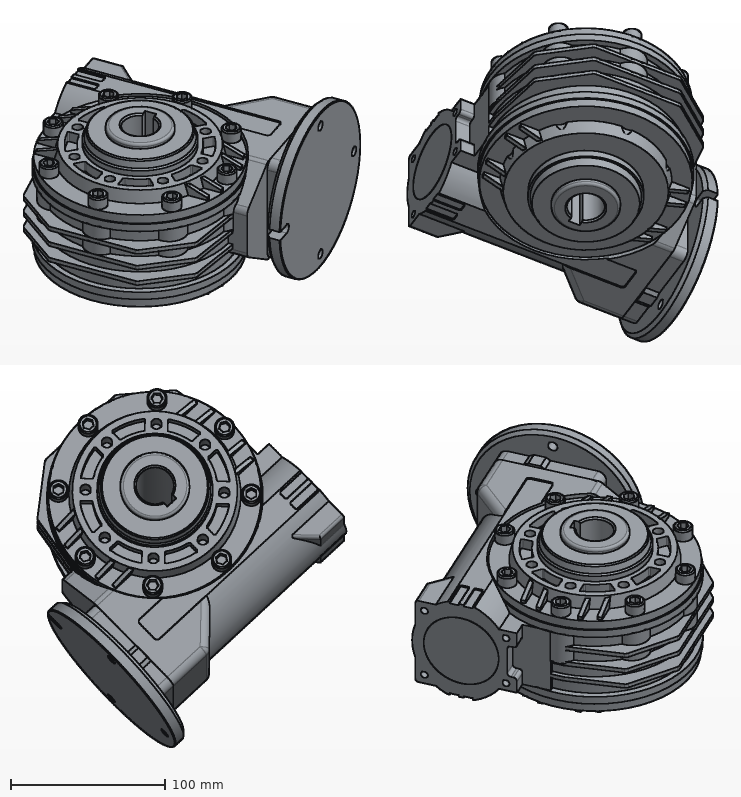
import cadquery as cq
import math


centre_distance = 63.0
housing_half_length = 79.1
joint_overlap = 2.0
selection_margin = 0.2

shaft_diameter = 45.0
shaft_half_length = 60.0
shaft_edge_radius = 2.0
bore_diameter = 24.5
bore_chamfer = 1.2
keyway_width = 8.0
keyway_top = 15.8

barrel_radius = 65.8
barrel_half_height = 23.7
rim_radius = 70.0
rim_height = 29.3
cover_radius = 138.0 / 2
cover_height = 35.9
cover_boss_base_radius = 55.8
cover_boss_top_radius = 53.5
cover_boss_height = 45.0
hub_radius = 75.0 / 2
hub_top = 56.2

upper_nose_start = 49.2
upper_nose_chamfer = 1.2
upper_nose_radius = 35.1
upper_nose_bevel = 1.0
lower_nose_start = 50.2
lower_nose_base_radius = 36.0
lower_nose_end_radius = 35.0

slot_inner_radius = 41.0
slot_outer_radius = 49.0
slot_web_width = 14.9
slot_depth = 7.5
slot_corner_radius = 1.0
tapped_hole_diameter = 7.0
tapped_hole_circle = 45.0
tapped_hole_depth = 14.0

screw_count = 8
screw_circle_radius = 62.5
screw_head_diameter = 12.7
screw_head_top = 44.2
screw_head_chamfer = 1.0
socket_across_flats = 6.5
socket_depth = 5.0
screw_boss_radius = 12.4
scallop_radius = 8.0

upper_rib_places = [(14.5, 66.0), (26.5, 62.0)]
lower_rib_places = [(13.1, 66.0), (25.0, 62.0)]
rib_width = 3.0
rib_inner_radius = 51.0
rib_end_height = 38.0
rib_slope = 0.37

fin_levels = [-12.2, 0.0, 12.2]
fin_thickness = 3.0
fin_half_width = 68.9
fin_side_start = -4.5
fin_corner = (62.3, -45.2)
fin_front_half_width = 31.7
fin_corner_radius = 3.9

tube_arc_radius = 80.0 / 2
tube_arc_offset = 6.0
tube_flat_height = 37.0
flat_end = 67.2
flat_corner_radius = 2.3
groove_length = 20.0
groove_width = 6.2
groove_offset = 4.8
groove_depth = 1.2

block_half_height = 38.2
block_back = centre_distance + 37.0
block_front = -4.2
block_front_half_height = 17.8
block_shoulder = 26.2
block_edge_radius = 6.0
block_slant_start = 47.0

pad_half_height = 32.5
pad_back = centre_distance + 31.8
pad_front = centre_distance
pad_slant_start = -57.9
pad_edge_radius = 2.3

plate_x = -68.9
plate_front = 4.8
foot_front = 24.3
foot_notch_depth = 6.8
notch_floor = foot_front + foot_notch_depth
foot_notch_half_height = 12.0
foot_notch_radius = 2.5

end_hole_diameter = 4.8
end_hole_depth = 10.0
end_hole_places = [(25.5, 25.5), (-31.0, 18.0)]
cap_diameter = 52.0
cap_recess = 0.2

flange_radius = 60.0
flange_thickness = 10.0
flange_chamfer = 2.5
flange_face_chamfer = 0.5
flange_face = 99.4
flange_hole_diameter = 6.5
flange_hole_circle = 50.0
neck_half_width = block_back - centre_distance
neck_pad_height = 40.0
neck_pad_centre = 8.9
neck_pad_top_half_width = 4.2
neck_pad_base_half_width = 7.3


def polar_points(count, radius):
    """Points equally spaced on a circle about the Z axis."""
    angles = [math.radians(360 * i / count) for i in range(count)]
    return [(radius * math.cos(a), radius * math.sin(a)) for a in angles]


def box(x_range, y_range, z_range):
    """Box between two limits along each axis."""
    size = [high - low for low, high in (x_range, y_range, z_range)]
    corner = (x_range[0], y_range[0], z_range[0])
    return cq.Workplane("XY").box(*size, centered=False).translate(corner)


def disc(radius, z_low, z_high):
    """Cylinder about the Z axis."""
    return cq.Workplane("XY").workplane(offset=z_low).circle(radius).extrude(z_high - z_low)


def along_x(x_start):
    """YZ plane at x_start, with its origin on the worm axis."""
    return cq.Workplane("YZ", origin=(x_start, centre_distance, 0))


def worm_tube():
    length = block_slant_start + housing_half_length
    reach = tube_arc_radius + tube_arc_offset
    tube = along_x(-housing_half_length).rect(2 * reach, 2 * tube_flat_height).extrude(length)
    for offset in (-tube_arc_offset, tube_arc_offset):
        arc = along_x(-housing_half_length).center(offset, 0).circle(tube_arc_radius).extrude(length)
        tube = tube.intersect(arc)
    front = box(
        (-housing_half_length, block_slant_start),
        (centre_distance - reach, notch_floor),
        (-tube_flat_height, tube_flat_height),
    )
    return tube.cut(front)


def input_block():
    slant_end = block_slant_start - (block_back - block_front)
    profile = [
        (block_back, block_half_height),
        (block_shoulder, block_half_height),
        (block_front, block_front_half_height),
        (block_front, -block_front_half_height),
        (block_shoulder, -block_half_height),
        (block_back, -block_half_height),
    ]
    block = (
        cq.Workplane("YZ", origin=(slant_end, 0, 0))
        .polyline(profile).close()
        .extrude(housing_half_length - slant_end)
    )
    slant = (
        cq.Workplane("XY", origin=(0, 0, -block_half_height))
        .polyline([(slant_end, block_front), (slant_end, block_back), (block_slant_start, block_back)])
        .close()
        .extrude(2 * block_half_height)
    )
    block = block.cut(slant)
    rounded = block.edges("|X").add(block.faces("<(1,-1,0)").edges())
    return rounded.fillet(block_edge_radius)


def corner_pad():
    slant_end = pad_slant_start + pad_back - pad_front
    pad = (
        cq.Workplane("XY", origin=(0, 0, -pad_half_height))
        .moveTo(-housing_half_length, pad_front)
        .lineTo(-housing_half_length, pad_back)
        .lineTo(pad_slant_start, pad_back)
        .lineTo(slant_end, pad_front)
        .close()
        .extrude(2 * pad_half_height)
    )
    rounded = pad.faces(">Y").edges("|X").add(pad.faces(">(1,1,0)").edges("#Z"))
    return rounded.fillet(pad_edge_radius)


def side_plate():
    heights = (-barrel_half_height, barrel_half_height)
    plate = box((plate_x, 0), (plate_front, centre_distance), heights)
    foot = box((-housing_half_length, plate_x), (foot_front, centre_distance), heights)
    notch = box(
        (-housing_half_length, plate_x),
        (foot_front, notch_floor),
        (-foot_notch_half_height, foot_notch_half_height),
    )
    foot = foot.cut(notch)
    step_edges = cq.selectors.BoxSelector(
        (-housing_half_length, foot_front - selection_margin, -foot_notch_half_height - selection_margin),
        (plate_x, notch_floor + selection_margin, foot_notch_half_height + selection_margin),
    )
    foot = foot.edges("|X").edges(step_edges).fillet(foot_notch_radius)
    return plate.union(foot)


def flat_recess(side):
    """Sunken strip that carries the tube flat on into the input block."""
    half_width = math.sqrt(tube_arc_radius**2 - tube_flat_height**2) - tube_arc_offset
    strip = box(
        (-housing_half_length, flat_end),
        (centre_distance - half_width, centre_distance + half_width),
        (tube_flat_height, rim_radius),
    )
    strip = strip.edges("|Z and >X").fillet(flat_corner_radius)
    return strip if side > 0 else strip.mirror("XY")


def flat_grooves(side):
    """Two shallow grooves in the tube flat, open at the -X end face."""
    grooves = cq.Workplane("XY")
    for offset in (-groove_offset, groove_offset):
        y_centre = centre_distance + offset
        groove = box(
            (-housing_half_length, -housing_half_length + groove_length),
            (y_centre - groove_width / 2, y_centre + groove_width / 2),
            (tube_flat_height - groove_depth, tube_flat_height),
        )
        grooves = grooves.union(groove.edges("|Z and >X").fillet(groove_depth))
    return grooves if side > 0 else grooves.mirror("XY")


def end_face_holes():
    places = [(y, side * z) for y, z in end_hole_places for side in (-1, 1)]
    end_plane = along_x(-housing_half_length)
    holes = end_plane.pushPoints(places).circle(end_hole_diameter / 2).extrude(end_hole_depth)
    recess = end_plane.circle(cap_diameter / 2).extrude(cap_recess)
    return holes.union(recess)


def case_core():
    profile = [
        (0, -hub_top),
        (lower_nose_end_radius, -hub_top),
        (lower_nose_base_radius, -lower_nose_start),
        (hub_radius, -lower_nose_start),
        (hub_radius, -cover_boss_height),
        (cover_boss_top_radius, -cover_boss_height),
        (cover_boss_base_radius, -cover_height),
        (cover_radius, -cover_height),
        (cover_radius, -rim_height),
        (rim_radius, -rim_height),
        (rim_radius, -barrel_half_height),
        (barrel_radius, -barrel_half_height),
        (barrel_radius, barrel_half_height),
        (rim_radius, barrel_half_height),
        (rim_radius, rim_height),
        (cover_radius, rim_height),
        (cover_radius, cover_height),
        (cover_boss_base_radius, cover_height),
        (cover_boss_top_radius, cover_boss_height),
        (hub_radius, cover_boss_height),
        (hub_radius, upper_nose_start),
        (hub_radius - upper_nose_chamfer, upper_nose_start + upper_nose_chamfer),
        (upper_nose_radius, hub_top - upper_nose_bevel),
        (upper_nose_radius - upper_nose_bevel, hub_top),
        (0, hub_top),
    ]
    return cq.Workplane("XZ").polyline(profile).close().revolve(360, (0, 0, 0), (0, 1, 0))


def cooling_fins():
    corner_x, corner_y = fin_corner
    outline = [
        (-fin_half_width, plate_front),
        (-fin_half_width, fin_side_start),
        (-corner_x, corner_y),
        (-fin_front_half_width, -rim_radius),
        (fin_front_half_width, -rim_radius),
        (corner_x, corner_y),
        (fin_half_width, fin_side_start),
        (fin_half_width, plate_front),
    ]
    front_corners = cq.selectors.BoxSelector(
        (-fin_half_width, -rim_radius - selection_margin, -barrel_half_height),
        (fin_half_width, corner_y + selection_margin, barrel_half_height),
    )
    fins = cq.Workplane("XY")
    for level in fin_levels:
        fin = (
            cq.Workplane("XY", origin=(0, 0, level - fin_thickness / 2))
            .polyline(outline).close()
            .extrude(fin_thickness)
        )
        fins = fins.union(fin.edges("|Z").edges(front_corners).fillet(fin_corner_radius))
    return fins


def screw_bosses():
    """Round bosses below the upper rim, tangent to the rim's outside."""
    places = polar_points(screw_count, rim_radius - screw_boss_radius)
    return cq.Workplane("XY").pushPoints(places).circle(screw_boss_radius).extrude(barrel_half_height)


def screw_heads():
    base = cover_height - joint_overlap
    head = (
        cq.Workplane("XY", origin=(0, 0, base))
        .circle(screw_head_diameter / 2)
        .extrude(screw_head_top - base)
        .faces(">Z").chamfer(screw_head_chamfer)
    )
    socket = (
        cq.Workplane("XY", origin=(0, 0, screw_head_top - socket_depth))
        .transformed(rotate=(0, 0, 30))
        .polygon(6, socket_across_flats / math.cos(math.pi / 6))
        .extrude(socket_depth)
    )
    head = head.cut(socket).translate((screw_circle_radius, 0, 0))
    heads = cq.Workplane("XY")
    for i in range(screw_count):
        heads = heads.union(head.rotate((0, 0, 0), (0, 0, 1), 360 * i / screw_count))
    return heads


def cover_ribs(places):
    """Sloped ribs standing on a cover, mirrored about the XZ and YZ planes."""
    ribs = cq.Workplane("XY")
    for y_place, outer_end in places:
        inner_end = math.sqrt(rib_inner_radius**2 - y_place**2)
        profile = [
            (inner_end, cover_height - joint_overlap),
            (outer_end, cover_height - joint_overlap),
            (outer_end, rib_end_height),
            (inner_end, rib_end_height + rib_slope * (outer_end - inner_end)),
        ]
        rib = (
            cq.Workplane("XZ", origin=(0, y_place + rib_width / 2, 0))
            .polyline(profile).close()
            .extrude(rib_width)
        )
        pair = rib.union(rib.mirror("YZ"))
        ribs = ribs.union(pair).union(pair.mirror("XZ"))
    return ribs


def cover_slots():
    floor = cover_boss_height - slot_depth
    slots = disc(slot_outer_radius, floor, cover_boss_height).cut(
        disc(slot_inner_radius, floor, cover_boss_height)
    )
    web = box(
        (-slot_outer_radius, slot_outer_radius),
        (-slot_web_width / 2, slot_web_width / 2),
        (floor, cover_boss_height),
    )
    for i in range(screw_count // 2):
        slots = slots.cut(web.rotate((0, 0, 0), (0, 0, 1), 360 * i / screw_count))
    return slots.edges("|Z").fillet(slot_corner_radius)


def tapped_holes():
    return (
        cq.Workplane("XY", origin=(0, 0, cover_boss_height - tapped_hole_depth))
        .pushPoints(polar_points(screw_count, tapped_hole_circle))
        .circle(tapped_hole_diameter / 2)
        .extrude(tapped_hole_depth)
    )


def lower_scallops():
    """Round clearances cut into the lower boss in line with the screws."""
    return (
        cq.Workplane("XY", origin=(0, 0, -cover_boss_height))
        .pushPoints(polar_points(screw_count, screw_circle_radius))
        .circle(scallop_radius)
        .extrude(cover_boss_height - cover_height)
    )


def make_housing():
    housing = worm_tube().union(input_block()).union(corner_pad()).union(side_plate())
    for side in (-1, 1):
        housing = housing.cut(flat_recess(side)).cut(flat_grooves(side))
    housing = housing.cut(end_face_holes())
    seat = disc(rim_radius, rim_height, rim_radius)
    housing = housing.cut(seat).cut(seat.mirror("XY"))
    core = case_core().cut(lower_scallops()).cut(cover_slots()).cut(tapped_holes())
    housing = housing.union(core).union(screw_bosses()).union(cooling_fins())
    housing = housing.union(cover_ribs(upper_rib_places)).union(screw_heads())
    housing = housing.union(cover_ribs(lower_rib_places).mirror("XY"))
    return housing.cut(disc(shaft_diameter / 2, -hub_top, hub_top))


def make_flange():
    plate_start = flange_face - flange_thickness
    plate = along_x(plate_start).circle(flange_radius).extrude(flange_thickness)
    plate = plate.faces("<X").chamfer(flange_chamfer)
    plate = plate.faces(">X").chamfer(flange_face_chamfer)
    neck_length = plate_start - housing_half_length
    neck = along_x(housing_half_length).rect(2 * neck_half_width, 2 * block_half_height).extrude(neck_length)
    neck = neck.edges("|X").fillet(block_edge_radius)
    pad_profile = [
        (neck_pad_centre - neck_pad_base_half_width, block_half_height),
        (neck_pad_centre - neck_pad_top_half_width, neck_pad_height),
        (neck_pad_centre + neck_pad_top_half_width, neck_pad_height),
        (neck_pad_centre + neck_pad_base_half_width, block_half_height),
    ]
    pad = along_x(housing_half_length).polyline(pad_profile).close().extrude(neck_length)
    flange = plate.union(neck).union(pad).union(pad.mirror("XY"))
    holes = (
        along_x(plate_start)
        .polarArray(flange_hole_circle, 0, 360, 4)
        .circle(flange_hole_diameter / 2)
        .extrude(flange_thickness)
    )
    open_slot = box(
        (plate_start, flange_face),
        (centre_distance - flange_radius, centre_distance - flange_hole_circle),
        (-flange_hole_diameter / 2, flange_hole_diameter / 2),
    )
    return flange.cut(holes).cut(open_slot)


def make_shaft():
    shaft = (
        cq.Workplane("XY", origin=(0, 0, -shaft_half_length))
        .circle(shaft_diameter / 2)
        .circle(bore_diameter / 2)
        .extrude(2 * shaft_half_length)
    )
    shaft = shaft.edges(cq.selectors.RadiusNthSelector(0)).chamfer(bore_chamfer)
    shaft = shaft.edges(cq.selectors.RadiusNthSelector(-1)).fillet(shaft_edge_radius)
    keyway = box(
        (-keyway_width / 2, keyway_width / 2), (0, keyway_top), (-shaft_half_length, shaft_half_length)
    )
    return shaft.cut(keyway)


housing = make_housing()
flange = make_flange()
shaft = make_shaft()

result = cq.Compound.makeCompound([body.solids().val() for body in (housing, flange, shaft)])